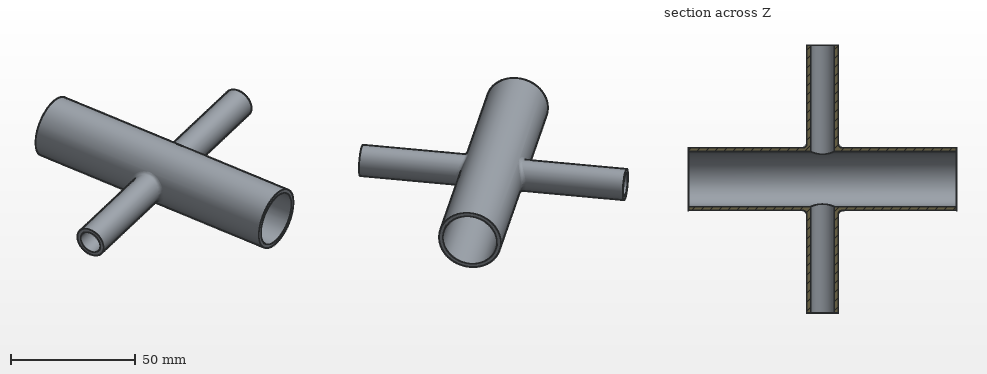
import cadquery as cq

length = 108.0
main_outer_diameter = 25.4
main_bore_diameter = 22.1

branch_span = 108.0
branch_outer_diameter = 12.7
branch_bore_diameter = 9.4

weld_radius = 1.6


def cylinder_along(plane, diameter, span):
    """Solid cylinder centred on the origin, with its axis normal to the plane."""
    return cq.Workplane(plane).circle(diameter / 2).extrude(span / 2, both=True)


body = cylinder_along("YZ", main_outer_diameter, length)
body = body.union(cylinder_along("XZ", branch_outer_diameter, branch_span))

junction_zone = cq.selectors.BoxSelector(
    (-branch_outer_diameter, -main_outer_diameter, -main_outer_diameter),
    (branch_outer_diameter, main_outer_diameter, main_outer_diameter),
    boundingbox=True,
)
body = body.edges(junction_zone).fillet(weld_radius)

body = body.cut(cylinder_along("YZ", main_bore_diameter, length))
result = body.cut(cylinder_along("XZ", branch_bore_diameter, branch_span))